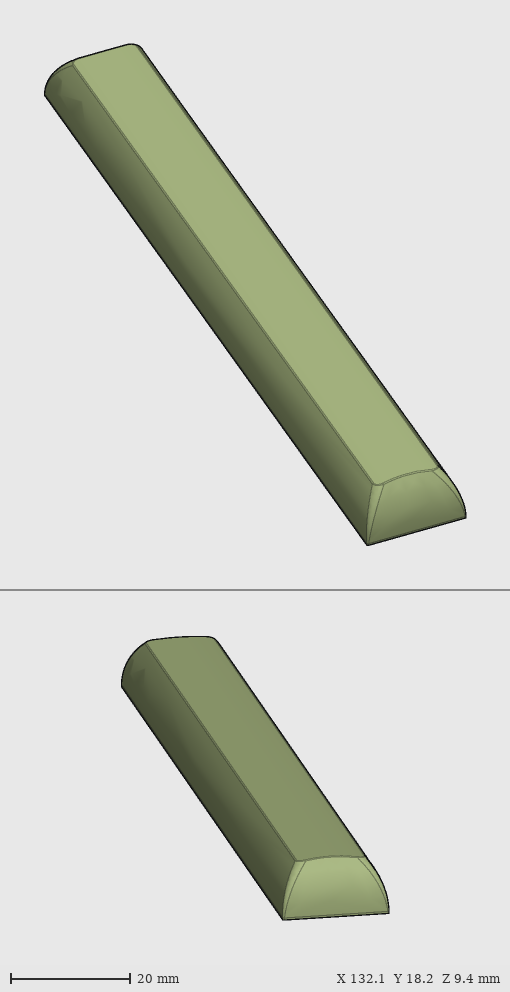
import cadquery as cq
import math

length = 132.1
width = 18.2
height = 9.4

band_height = 0.4
end_wall_radius = 11.9
side_wall_radius = 12.8

base_corner_radius = 0.3
top_corner_radius = 1.5

crown_drop = 0.5
crown_half_span = 6.0

rim_radius = 0.4

section_count = 7


def wall_inset(wall_radius, z):
    """Distance a wall has moved inward at height z."""
    return wall_radius - math.sqrt(wall_radius**2 - (z - band_height)**2)


def section(z):
    """Rounded rectangular outline of the body at height z."""
    section_length = length - 2 * wall_inset(end_wall_radius, z)
    section_width = width - 2 * wall_inset(side_wall_radius, z)
    rise = (z - band_height) / (height - band_height)
    corner_radius = base_corner_radius + (top_corner_radius - base_corner_radius) * rise
    outline = cq.Sketch().rect(section_length, section_width).vertices().fillet(corner_radius)
    return outline.moved(cq.Location(cq.Vector(0, 0, z)))


def base_band():
    """Upright strip under the curved walls."""
    return cq.Workplane("XY").rect(length, width).extrude(band_height).edges("|Z").fillet(base_corner_radius)


def curved_body():
    """Loft through evenly spaced outlines from the base band to the full height."""
    step = (height - band_height) / (section_count - 1)
    sections = [section(band_height + i * step) for i in range(section_count)]
    return cq.Workplane("XY").placeSketch(*sections).loft()


def crown_envelope():
    """Bar along X whose top is a shallow arc across the width."""
    half_width = width / 2
    crown_radius = (crown_half_span**2 + crown_drop**2) / (2 * crown_drop)
    edge_height = height - crown_radius + math.sqrt(crown_radius**2 - half_width**2)
    return (
        cq.Workplane("YZ")
        .moveTo(-half_width, 0)
        .lineTo(half_width, 0)
        .lineTo(half_width, edge_height)
        .threePointArc((0, height), (-half_width, edge_height))
        .close()
        .extrude(length / 2, both=True)
    )


sharp_body = base_band().union(curved_body()).intersect(crown_envelope())
result = sharp_body.faces(">Z").edges().fillet(rim_radius)